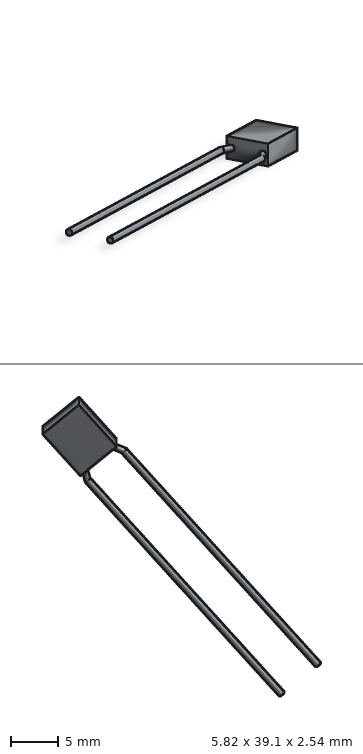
import cadquery as cq

lead_pitch = 5.08
housing_width = lead_pitch
housing_length = 6.18
housing_height = 2.54

lead_diameter = 0.74
overall_length = 39.11
joggle_length = 1.18
joggle_offset = 0.58

lead_radius = lead_diameter / 2
straight_length = overall_length - housing_length - joggle_length
lead_x = lead_pitch / 2
lead_root_x = lead_x - joggle_offset


def make_housing():
    """Block with its lead face at Y = 0, centred on X and Z."""
    return cq.Workplane("XY").box(
        housing_width, housing_length, housing_height, centered=(True, False, True)
    )


def make_lead(side):
    """Lead running toward -Y from the housing face; side is -1 or +1 along X."""
    root = cq.Workplane("XZ", origin=(side * lead_root_x, 0, 0))
    joggle = (
        root.circle(lead_radius)
        .workplane(offset=joggle_length)
        .center(side * joggle_offset, 0)
        .circle(lead_radius)
        .loft(ruled=True)
    )
    straight = (
        cq.Workplane("XZ", origin=(side * lead_x, -joggle_length, 0))
        .circle(lead_radius)
        .extrude(straight_length)
    )
    return joggle.union(straight)


housing = make_housing()
leads = [make_lead(side) for side in (-1, 1)]

result = cq.Compound.makeCompound([housing.val(), *[lead.val() for lead in leads]])